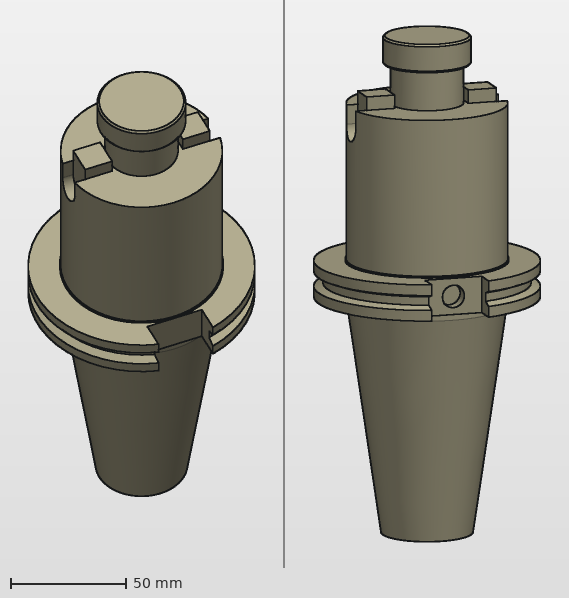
import cadquery as cq
import math

gauge_z = 101.5
flange_bottom_z = 104.5
flange_top_z = 120.7
body_top_z = 190.6
key_top_z = 196.5
slot_bottom_z = 175.9
total_height = 220.6
head_height = 12.5
head_bottom_z = total_height - head_height

gauge_radius = 34.9
body_radius = 35.0
taper_ratio = 7 / 24
tip_radius = gauge_radius - gauge_z * taper_ratio / 2
collar_radius = 35.5
collar_height = 0.7
pilot_radius = 15.9

head_radius = 19.2
head_chamfer = 0.9

flange_radius = 49.2
groove_floor_radius = 45.2
groove_width = 6.6
groove_floor_width = 3.8

notch_width = 25.8
left_notch_x = -37.7
right_notch_x = 35.5
notch_hole_diameter = 10.0
notch_hole_depth = 6.0

key_width = 12.8
key_inner_y = 16.8
key_outer_y = key_inner_y + key_width


def make_turned_holder():
    """Taper shank, grooved flange, body and pilot in one revolved profile."""
    groove_z = (flange_bottom_z + flange_top_z) / 2
    profile = [
        (0, 0),
        (tip_radius, 0),
        (gauge_radius, gauge_z),
        (gauge_radius, flange_bottom_z),
        (flange_radius, flange_bottom_z),
        (flange_radius, groove_z - groove_width / 2),
        (groove_floor_radius, groove_z - groove_floor_width / 2),
        (groove_floor_radius, groove_z + groove_floor_width / 2),
        (flange_radius, groove_z + groove_width / 2),
        (flange_radius, flange_top_z),
        (collar_radius, flange_top_z),
        (collar_radius, flange_top_z + collar_height),
        (body_radius, flange_top_z + collar_height),
        (body_radius, body_top_z),
        (pilot_radius, body_top_z),
        (pilot_radius, head_bottom_z),
        (0, head_bottom_z),
    ]
    return cq.Workplane("XZ").polyline(profile).close().revolve(360, (0, 0, 0), (0, 1, 0))


def make_notch(wall_x):
    """Drive notch running outward from its flat wall through the flange rim."""
    side = math.copysign(1, wall_x)
    length = flange_radius
    return cq.Workplane("XY").box(
        length, notch_width, flange_top_z - flange_bottom_z, centered=(True, True, False)
    ).translate((wall_x + side * length / 2, 0, flange_bottom_z))


def make_notch_hole():
    """Blind round hole in the wall of the left notch."""
    center_z = (flange_bottom_z + flange_top_z) / 2
    return (
        cq.Workplane("YZ", origin=(left_notch_x, 0, center_z))
        .circle(notch_hole_diameter / 2)
        .extrude(notch_hole_depth)
    )


def make_round_ended_bar(side, start_y, end_y, top_z):
    """Upright bar with a half-round lower end, on the +Y or -Y side."""
    half_width = key_width / 2
    arc_center_z = slot_bottom_z + half_width
    return (
        cq.Workplane("XZ", origin=(0, side * start_y, 0))
        .moveTo(-half_width, top_z)
        .lineTo(-half_width, arc_center_z)
        .threePointArc((0, slot_bottom_z), (half_width, arc_center_z))
        .lineTo(half_width, top_z)
        .close()
        .extrude(-side * (end_y - start_y))
    )


def make_holder():
    holder = make_turned_holder()
    for wall_x in (left_notch_x, right_notch_x):
        holder = holder.cut(make_notch(wall_x))
    holder = holder.cut(make_notch_hole())
    for side in (-1, 1):
        holder = holder.cut(make_round_ended_bar(side, key_inner_y, collar_radius, body_top_z))
        holder = holder.union(make_round_ended_bar(side, key_inner_y, key_outer_y, key_top_z))
    return holder.solids()


def make_screw_head():
    """Chamfered disc seated on the end of the pilot."""
    return (
        cq.Workplane("XY", origin=(0, 0, head_bottom_z))
        .circle(head_radius)
        .extrude(head_height)
        .edges("%CIRCLE")
        .chamfer(head_chamfer)
    )


holder = make_holder()
screw_head = make_screw_head()
result = cq.Compound.makeCompound([holder.val(), screw_head.val()])